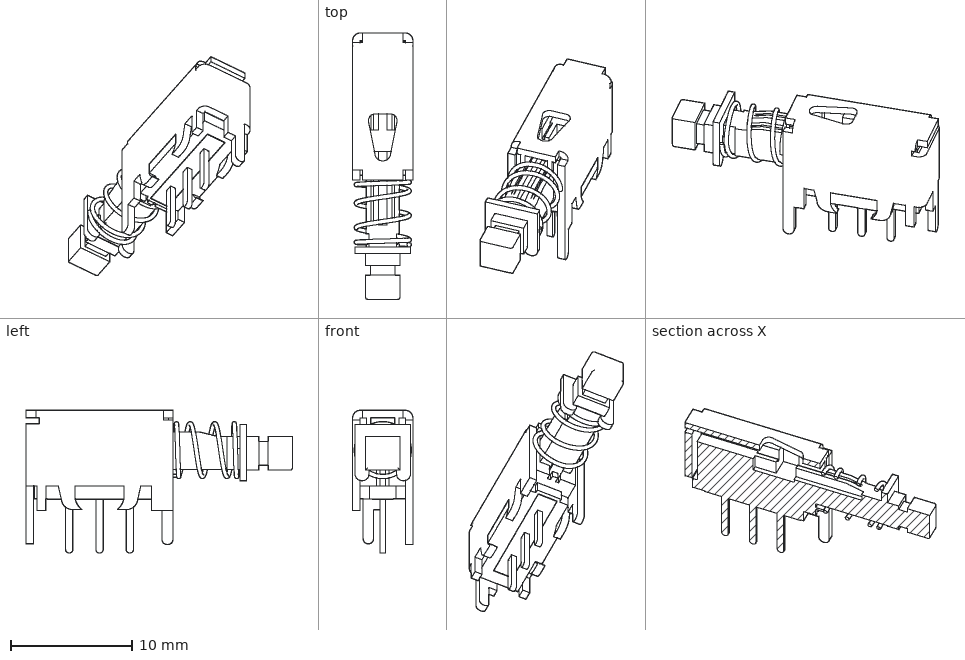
import math
import cadquery as cq


CASE_WIDTH = 5.0
CASE_LENGTH = 12.15
TOTAL_LENGTH = 22.0
TOTAL_HEIGHT = 11.8
PIN_DROP = 3.5
TOP = TOTAL_HEIGHT - PIN_DROP
HALF_WIDTH = CASE_WIDTH / 2
END_ROUNDING = 0.99
KNOB_END = CASE_LENGTH - TOTAL_LENGTH

SHEET = 0.64
FOLD_RADIUS = 0.68
WALL_BOTTOM = TOP - 6.24
PLATE_END_HALF_WIDTH = 1.68
FOLD_RELIEF_LENGTH = 0.82
FRONT_WALL_TOP = TOP - 0.8
REAR_WALL_TOP = TOP - 1.12
REAR_NOTCH_LENGTH = 1.1
INNER_HALF = HALF_WIDTH - SHEET

FRONT_FOOT_LENGTH = 1.8
REAR_FOOT_START = 0.9
REAR_FOOT_LENGTH = 0.74
HOOK_INSET = 4.07
HOOK_ROOT_WIDTH = 1.4
HOOK_OUTER_SLOPE = 0.24
HOOK_BEND_Z = WALL_BOTTOM - 1.05
HOOK_BOTTOM = 0.1
HOOK_TIP_REACH = 0.54
HOOK_HEEL = 0.2
HOOK_THROAT_BULGE = 0.3
FRONT_LEG_WIDTH = 0.94
FRONT_LEG_BOTTOM = -2.8
REAR_LEG_LEFT = -1.63
REAR_LEG_WIDTH = 0.88
REAR_LEG_BOTTOM = -2.74
REAR_TAB_RIGHT = 0.0
REAR_TAB_BOTTOM = 0.07

WINDOW_REAR = 5.45
WINDOW_FRONT = 1.58
WINDOW_REAR_HALF = 1.3
WINDOW_FRONT_RADIUS = 0.66
WINDOW_REAR_RADIUS = 0.55

HOUSING_TOP = TOP - 0.97
HOUSING_BOTTOM = TOP - 7.32
HOUSING_REAR_GAP = 0.68
HOUSING_SETBACK = 0.38
FRAME_HALF = 1.36
CHANNEL_HALF = 0.97
SILL_HALF = 1.1
SILL_SETBACK = 1.5
SILL_SIDE_SETBACK = 1.8
RAIL_HALF = 2.47
BASE_PLATE_HALF = 0.86
BASE_PLATE_DROP = 0.07
BASE_PLATE_REAR_GAP = 1.78
SLOT_HALF = 0.5
SLOT_RIB_HALF = 0.24
SLOT_DEPTH = 0.4
TONGUE_TOP = TOP - 5.28
TONGUE_THICKNESS = 0.27
TONGUE_REACH = 0.3

PIN_PITCH = 2.5
PIN_COUNT = 3
PIN_MIDDLE_Y = CASE_LENGTH / 2
PIN_WIDTH = 0.62
PIN_THICKNESS = 0.48

SLIDER_HALF = 1.37
SLIDER_TOP = TOP - 1.8
SLIDER_BOTTOM = TOP - 4.9
KNOB_TOP = TOP - 2.17
KNOB_BOTTOM = TOP - 4.96
KNOB_HALF = 1.44
RAMP_START = -2.18
RAMP_END = -3.71
GROOVE_FLOOR = TOP - 2.8
MIDDLE_GROOVE_HALF = 0.365
SIDE_GROOVE_INNER = 0.75
SIDE_GROOVE_OUTER = 0.97
SIDE_GROOVE_END = -3.36
POCKET_FRONT = 2.34
POCKET_REAR = 4.11
POCKET_FLOOR = TOP - 3.1
GROOVE_REAR = 6.0
WAIST_START = -4.44
WAIST_HALF = 1.15
PAD_START = -5.28
PAD_TOP = TOP - 3.18

FLANGE_REAR = -5.5
FLANGE_THICKNESS = 0.56
FLANGE_FRONT = FLANGE_REAR - FLANGE_THICKNESS
FLANGE_HALF = 2.29
FLANGE_TOP = TOP - 1.18
FLANGE_BOTTOM = TOP - 5.83
FLANGE_LOBE_RADIUS = 0.58
COLLAR_FRONT = -7.06
CAP_REAR = -7.83
NECK_HALF = 1.03
NECK_INSET = 0.4
CAP_EDGE_RADIUS = 0.22

WIRE_RADIUS = 0.18
COIL_RADIUS = 2.18
COIL_CENTER_Z = TOP - 3.3
SPRING_START = -0.17
END_PITCH = 0.4
OPEN_PITCH = 2.02
OPEN_FROM_TURN = 0.8
OPEN_TO_TURN = 3.0
SPRING_TURNS = 4.0
POINTS_PER_TURN = 10


def block(x0, x1, y0, y1, z0, z1):
    """Box between two corners."""
    return cq.Workplane("XY").box(x1 - x0, y1 - y0, z1 - z0, centered=False).translate((x0, y0, z0))


def wide_block(half, y0, y1, z0, z1):
    """Box centred on X = 0."""
    return block(-half, half, y0, y1, z0, z1)


def both_sides(shape):
    """The shape together with its mirror image across X = 0."""
    return shape.union(shape.mirror("YZ"))


def case_shell():
    """Folded sheet: top plate, two side walls and the rear wall."""
    crosswise = (
        wide_block(HALF_WIDTH, 0, CASE_LENGTH, WALL_BOTTOM, TOP).edges("|Y and >Z").fillet(FOLD_RADIUS)
    )
    lengthwise = (
        wide_block(HALF_WIDTH, 0, CASE_LENGTH, WALL_BOTTOM, REAR_WALL_TOP)
        .edges("|Z and >Y")
        .fillet(FOLD_RADIUS)
    )
    notch_y = CASE_LENGTH - REAR_NOTCH_LENGTH
    plate_bottom = TOP - SHEET
    upper_part = wide_block(HALF_WIDTH, 0, notch_y, WALL_BOTTOM, TOP)
    plate = wide_block(HALF_WIDTH, 0, CASE_LENGTH, plate_bottom, TOP)
    shell = crosswise.intersect(upper_part.union(plate).union(lengthwise))
    shell = shell.cut(wide_block(INNER_HALF, 0, CASE_LENGTH - SHEET, WALL_BOTTOM, plate_bottom))
    rear_relief = block(
        PLATE_END_HALF_WIDTH, HALF_WIDTH, CASE_LENGTH - FOLD_RELIEF_LENGTH, CASE_LENGTH, plate_bottom, TOP
    )
    front_relief = block(PLATE_END_HALF_WIDTH, HALF_WIDTH, 0, FOLD_RELIEF_LENGTH, FRONT_WALL_TOP, TOP)
    return shell.cut(both_sides(rear_relief)).cut(both_sides(front_relief))


def window_cut():
    """Teardrop opening, wide at the rear with round corners and narrowing to a round front end."""
    front_center = WINDOW_FRONT + WINDOW_FRONT_RADIUS
    return (
        cq.Workplane("XY")
        .workplane(offset=TOP - SHEET)
        .moveTo(-WINDOW_REAR_HALF, WINDOW_REAR)
        .lineTo(-WINDOW_FRONT_RADIUS, front_center)
        .threePointArc((0, WINDOW_FRONT), (WINDOW_FRONT_RADIUS, front_center))
        .lineTo(WINDOW_REAR_HALF, WINDOW_REAR)
        .close()
        .extrude(SHEET)
        .edges("|Z and >Y")
        .fillet(WINDOW_REAR_RADIUS)
    )


def front_hook():
    """Curved snap hook on the side wall, nearer the front and bent toward the rear."""
    root = HOOK_INSET - HOOK_ROOT_WIDTH
    bend = root + HOOK_OUTER_SLOPE
    heel = HOOK_INSET - HOOK_HEEL
    diagonal = math.sqrt(0.5)
    belly = (heel - (heel - bend) * diagonal, HOOK_BEND_Z - (HOOK_BEND_Z - HOOK_BOTTOM) * diagonal)
    throat = (HOOK_INSET + HOOK_TIP_REACH * HOOK_THROAT_BULGE, (HOOK_BEND_Z + HOOK_BOTTOM) / 2)
    return (
        cq.Workplane("YZ")
        .workplane(offset=-HALF_WIDTH)
        .moveTo(root, WALL_BOTTOM)
        .lineTo(bend, HOOK_BEND_Z)
        .threePointArc(belly, (heel, HOOK_BOTTOM))
        .lineTo(HOOK_INSET + HOOK_TIP_REACH, HOOK_BOTTOM)
        .threePointArc(throat, (HOOK_INSET, HOOK_BEND_Z))
        .lineTo(HOOK_INSET, WALL_BOTTOM)
        .close()
        .extrude(SHEET)
    )


def side_feet():
    """Standoff feet and snap hooks below both side walls."""
    rear_foot_end = CASE_LENGTH - REAR_FOOT_START
    rear_foot_front = rear_foot_end - REAR_FOOT_LENGTH
    hook = front_hook()
    rear_hook = hook.mirror("XZ").translate((0, CASE_LENGTH, 0))
    feet = (
        block(-HALF_WIDTH, -INNER_HALF, 0, FRONT_FOOT_LENGTH, 0, WALL_BOTTOM)
        .union(block(-HALF_WIDTH, -INNER_HALF, rear_foot_front, rear_foot_end, 0, WALL_BOTTOM))
        .union(hook)
        .union(rear_hook)
    )
    return both_sides(feet)


def mounting_legs():
    """Two long solder legs with round ends, and the tab beside the rear one."""
    front_leg = (
        block(INNER_HALF, HALF_WIDTH, 0, FRONT_LEG_WIDTH, FRONT_LEG_BOTTOM, WALL_BOTTOM)
        .edges("|X and <Z")
        .fillet(FRONT_LEG_WIDTH / 2 * END_ROUNDING)
    )
    rear_inner = CASE_LENGTH - SHEET
    rear_leg_right = REAR_LEG_LEFT + REAR_LEG_WIDTH
    rear_leg = (
        block(REAR_LEG_LEFT, rear_leg_right, rear_inner, CASE_LENGTH, REAR_LEG_BOTTOM, WALL_BOTTOM)
        .edges("|Y and <Z")
        .fillet(REAR_LEG_WIDTH / 2 * END_ROUNDING)
    )
    rear_tab = block(REAR_LEG_LEFT, REAR_TAB_RIGHT, rear_inner, CASE_LENGTH, REAR_TAB_BOTTOM, WALL_BOTTOM)
    return front_leg.union(rear_leg).union(rear_tab)


def housing():
    """Plastic body in the case with an open channel along its top; only its front reaches the plate."""
    plate_bottom = TOP - SHEET
    upper_rear = CASE_LENGTH - REAR_NOTCH_LENGTH
    base_rear = CASE_LENGTH - HOUSING_REAR_GAP
    front_block = wide_block(INNER_HALF, HOUSING_SETBACK, POCKET_FRONT, HOUSING_TOP, plate_bottom)
    body = wide_block(INNER_HALF, HOUSING_SETBACK, upper_rear, WALL_BOTTOM, HOUSING_TOP)
    base = wide_block(INNER_HALF, SILL_SIDE_SETBACK, base_rear, HOUSING_BOTTOM, WALL_BOTTOM)
    rails = wide_block(RAIL_HALF, HOOK_INSET, CASE_LENGTH - HOOK_INSET, HOUSING_BOTTOM, WALL_BOTTOM)
    frame = wide_block(FRAME_HALF, 0, HOUSING_SETBACK, SLIDER_BOTTOM, plate_bottom)
    sill = wide_block(SILL_HALF, SILL_SETBACK, SILL_SIDE_SETBACK, HOUSING_BOTTOM, WALL_BOTTOM)
    base_plate = wide_block(
        BASE_PLATE_HALF,
        FRONT_FOOT_LENGTH,
        CASE_LENGTH - BASE_PLATE_REAR_GAP,
        HOUSING_BOTTOM - BASE_PLATE_DROP,
        HOUSING_BOTTOM,
    )
    channel = wide_block(CHANNEL_HALF, 0, upper_rear, SLIDER_TOP, plate_bottom)
    slot = block(
        SLOT_RIB_HALF, SLOT_HALF, HOUSING_SETBACK, HOUSING_SETBACK + SLOT_DEPTH, WALL_BOTTOM, SLIDER_BOTTOM
    )
    tongue = wide_block(
        SLOT_HALF, -TONGUE_REACH, HOUSING_SETBACK + SLOT_DEPTH, TONGUE_TOP - TONGUE_THICKNESS, TONGUE_TOP
    )
    body = body.union(front_block).union(base).union(rails).union(frame).union(sill).union(base_plate)
    return body.cut(channel).cut(both_sides(slot)).union(tongue)


def pins():
    """Row of terminal pins with round tips."""
    row = cq.Workplane("XY")
    for index in range(PIN_COUNT):
        y = PIN_MIDDLE_Y + (index - (PIN_COUNT - 1) / 2) * PIN_PITCH
        pin = (
            block(
                -PIN_THICKNESS / 2,
                PIN_THICKNESS / 2,
                y - PIN_WIDTH / 2,
                y + PIN_WIDTH / 2,
                -PIN_DROP,
                HOUSING_BOTTOM,
            )
            .edges("|X and <Z")
            .fillet(PIN_WIDTH / 2 * END_ROUNDING)
        )
        row = row.union(pin)
    return row


def slider():
    """Grooved plunger bar that ramps down to the knob height."""
    bar = (
        cq.Workplane("YZ")
        .workplane(offset=-SLIDER_HALF)
        .moveTo(HOUSING_SETBACK, SLIDER_BOTTOM)
        .lineTo(FLANGE_REAR, SLIDER_BOTTOM)
        .lineTo(FLANGE_REAR, KNOB_TOP)
        .lineTo(RAMP_END, KNOB_TOP)
        .lineTo(RAMP_START, SLIDER_TOP)
        .lineTo(HOUSING_SETBACK, SLIDER_TOP)
        .close()
        .extrude(2 * SLIDER_HALF)
    )
    waist = block(WAIST_HALF, SLIDER_HALF, FLANGE_REAR, WAIST_START, SLIDER_BOTTOM, KNOB_TOP)
    pad = block(WAIST_HALF, SLIDER_HALF, FLANGE_REAR, PAD_START, SLIDER_BOTTOM, PAD_TOP)
    return bar.cut(both_sides(waist)).union(both_sides(pad))


def slider_grooves():
    """Middle and side grooves along the slider, and the pocket under the window."""
    ramp_fraction = (RAMP_START - SIDE_GROOVE_END) / (RAMP_START - RAMP_END)
    side_floor = SLIDER_TOP - ramp_fraction * (SLIDER_TOP - KNOB_TOP)
    side = block(
        SIDE_GROOVE_INNER, SIDE_GROOVE_OUTER, SIDE_GROOVE_END, GROOVE_REAR, side_floor, SLIDER_TOP
    )
    middle = wide_block(MIDDLE_GROOVE_HALF, RAMP_END, POCKET_REAR, GROOVE_FLOOR, SLIDER_TOP)
    rear_middle = wide_block(MIDDLE_GROOVE_HALF, POCKET_REAR, GROOVE_REAR, POCKET_FLOOR, SLIDER_TOP)
    pocket = wide_block(INNER_HALF, POCKET_FRONT, POCKET_REAR, POCKET_FLOOR, HOUSING_TOP)
    return both_sides(side).union(middle).union(rear_middle).union(pocket)


def flange():
    """Spring plate with two round lobes at the bottom."""
    plate = wide_block(FLANGE_HALF, FLANGE_FRONT, FLANGE_REAR, SLIDER_BOTTOM, FLANGE_TOP)
    lobe = (
        block(
            FLANGE_HALF - 2 * FLANGE_LOBE_RADIUS,
            FLANGE_HALF,
            FLANGE_FRONT,
            FLANGE_REAR,
            FLANGE_BOTTOM,
            SLIDER_BOTTOM,
        )
        .edges("|Y and <Z")
        .fillet(FLANGE_LOBE_RADIUS * END_ROUNDING)
    )
    return plate.union(both_sides(lobe))


def knob():
    """Collar, neck and push cap in front of the flange."""
    collar = wide_block(KNOB_HALF, COLLAR_FRONT, FLANGE_FRONT, KNOB_BOTTOM, KNOB_TOP)
    neck = wide_block(NECK_HALF, CAP_REAR, COLLAR_FRONT, KNOB_BOTTOM + NECK_INSET, KNOB_TOP - NECK_INSET)
    cap = (
        wide_block(KNOB_HALF, KNOB_END, CAP_REAR, KNOB_BOTTOM, KNOB_TOP)
        .faces("<Y")
        .edges("|Z or <Z")
        .fillet(CAP_EDGE_RADIUS)
    )
    return collar.union(neck).union(cap)


def spring_advance(turn):
    """Distance the wire has moved toward the flange after the given number of turns."""
    open_turns = min(max(turn - OPEN_FROM_TURN, 0), OPEN_TO_TURN - OPEN_FROM_TURN)
    return END_PITCH * (turn - open_turns) + OPEN_PITCH * open_turns


def spring():
    """Round wire coil with closed ends around the slider."""
    path_points = []
    for step in range(round(SPRING_TURNS * POINTS_PER_TURN) + 1):
        turn = step / POINTS_PER_TURN
        angle = 2 * math.pi * turn
        path_points.append(
            (
                COIL_RADIUS * math.cos(angle),
                SPRING_START - spring_advance(turn),
                COIL_CENTER_Z + COIL_RADIUS * math.sin(angle),
            )
        )
    path = cq.Workplane("XY").spline(path_points)
    wire_end = cq.Plane(origin=path_points[0], xDir=(1, 0, 0), normal=(0, 0, 1))
    return cq.Workplane(wire_end).circle(WIRE_RADIUS).sweep(path, isFrenet=True)


case = case_shell().cut(window_cut()).union(side_feet()).union(mounting_legs())
plunger = slider().union(flange()).union(knob())
result = case.union(housing()).union(pins()).union(plunger).cut(slider_grooves()).union(spring())